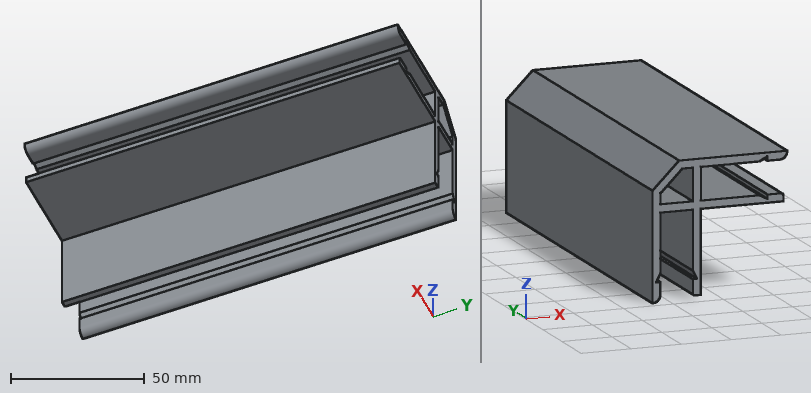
import cadquery as cq
import math

length = 152.4
outer_leg = 54.0
inner_leg = 52.5
wall = 3.2
channel = 13.0
corner_chamfer = 10.7
outer_tip_radius = 3.0
inner_tip_radius = 0.9
groove_start = 42.8
groove_end = 46.0
groove_depth = 1.7

inner_near = wall + channel
inner_far = inner_near + wall

profile_plane = cq.Workplane("XZ", origin=(0, length / 2, 0))


def extrude_polygon(points):
    return profile_plane.polyline(points).close().extrude(length)


def horizontal_wall(start, end, top, bottom):
    return extrude_polygon([(start, -top), (end, -top), (end, -bottom), (start, -bottom)])


def snap_groove(face, depth):
    """Sawtooth cutter entering a channel face by a signed distance along Z."""
    return extrude_polygon([(groove_start, face), (groove_end, face), (groove_end, face + depth)])


def horizontal_leg():
    outer = horizontal_wall(0, outer_leg, 0, wall)
    outer = outer.edges("|Y and >X and <Z").fillet(outer_tip_radius)
    inner = horizontal_wall(0, inner_leg, inner_near, inner_far)
    inner = inner.edges("|Y and >X and >Z").fillet(inner_tip_radius)
    outer = outer.cut(snap_groove(-wall, groove_depth))
    inner = inner.cut(snap_groove(-inner_near, -groove_depth))
    return outer.union(inner)


def vertical_leg():
    """The horizontal leg reflected across the 45 degree diagonal of the profile."""
    turned = horizontal_leg().rotate((0, 0, 0), (0, 1, 0), 90)
    return turned.mirror("YZ")


def sloped_corner():
    """Wall of even thickness joining the two outer walls across the corner."""
    inside_chamfer = corner_chamfer + wall * math.sqrt(2)
    return extrude_polygon(
        [(0, -corner_chamfer), (corner_chamfer, 0), (inside_chamfer, 0), (0, -inside_chamfer)]
    )


corner_waste = extrude_polygon([(0, 0), (corner_chamfer, 0), (0, -corner_chamfer)])

result = horizontal_leg().union(vertical_leg()).cut(corner_waste).union(sloped_corner())